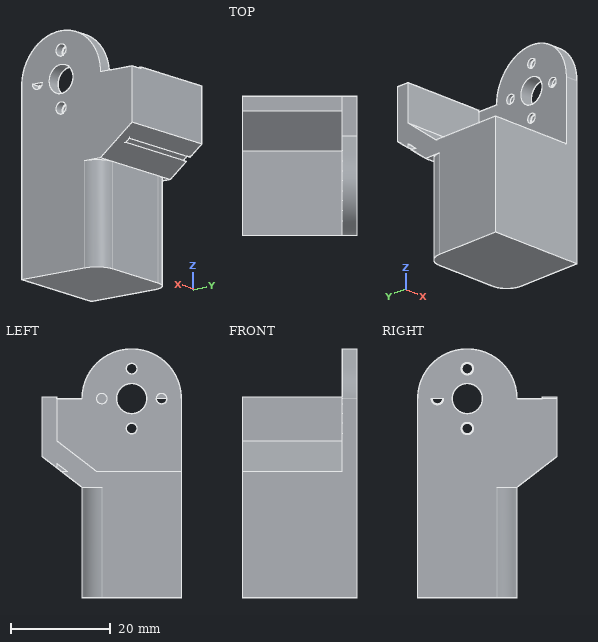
import cadquery as cq

width = 23.0
wall = 3.0
depth = 28.0
column_depth = 20.0
plate_x = width - wall

back_top = 40.35
floor_z = 25.35
slope_rise = 6.15
slope_run = depth - column_depth
shelf_bottom = floor_z - 3.15
corner_radius = 4.0

ear_radius = 10.0
ear_z = 40.0
center_bore = 6.0
bolt_hole = 2.1
bolt_offset = 6.0
bolt_depth = 1.0
counterbore_diameter = 2.5

groove_rise = 1.6
groove_run = 2.1


def extrude_profile(points, start_x, length):
    """Extrude a closed (y, z) outline along +X."""
    return cq.Workplane("YZ").workplane(offset=start_x).polyline(points).close().extrude(length)


def ear_cylinder(y, z, diameter, length):
    """Cylinder along +X starting at the inner face of the ear plate."""
    return cq.Workplane("YZ").workplane(offset=plate_x).center(y, z).circle(diameter / 2).extrude(length)


def counterbore(y, z):
    """Cylinder along +X from the bottom of a bolt hole to the outer face."""
    return ear_cylinder(y, z, counterbore_diameter, wall - bolt_depth).translate((bolt_depth, 0, 0))


column = (
    cq.Workplane("XY")
    .box(width, column_depth, shelf_bottom, centered=False)
    .edges("|Z and >Y")
    .fillet(corner_radius)
)

inner_y = depth - wall
seat = extrude_profile(
    [
        (0, shelf_bottom),
        (column_depth, shelf_bottom),
        (depth, shelf_bottom + slope_rise),
        (depth, back_top),
        (inner_y, back_top),
        (inner_y, floor_z + slope_rise),
        (inner_y - slope_run, floor_z),
        (0, floor_z),
    ],
    0,
    plate_x,
)

plate = extrude_profile(
    [
        (0, shelf_bottom),
        (column_depth, shelf_bottom),
        (depth, shelf_bottom + slope_rise),
        (depth, ear_z),
        (0, ear_z),
    ],
    plate_x,
    wall,
)
ear = ear_cylinder(ear_radius, ear_z, 2 * ear_radius, wall)

slope = slope_rise / slope_run
groove = extrude_profile(
    [
        (inner_y, shelf_bottom + slope * (inner_y - column_depth)),
        (inner_y, floor_z + groove_rise),
        (inner_y - groove_run, floor_z),
        (column_depth + (floor_z - shelf_bottom) / slope, floor_z),
    ],
    0,
    plate_x,
)

result = column.union(seat).union(plate).union(ear).cut(groove)

result = result.cut(ear_cylinder(ear_radius, ear_z, center_bore, wall))

for side in (-1, 1):
    result = result.cut(ear_cylinder(ear_radius, ear_z + side * bolt_offset, bolt_hole, bolt_depth))
    result = result.cut(ear_cylinder(ear_radius + side * bolt_offset, ear_z, bolt_hole, bolt_depth))

for side in (-1, 1):
    result = result.cut(counterbore(ear_radius, ear_z + side * bolt_offset))
lower_half = cq.Workplane("XY").box(width, column_depth, ear_z, centered=False)
result = result.cut(counterbore(ear_radius - bolt_offset, ear_z).intersect(lower_half))